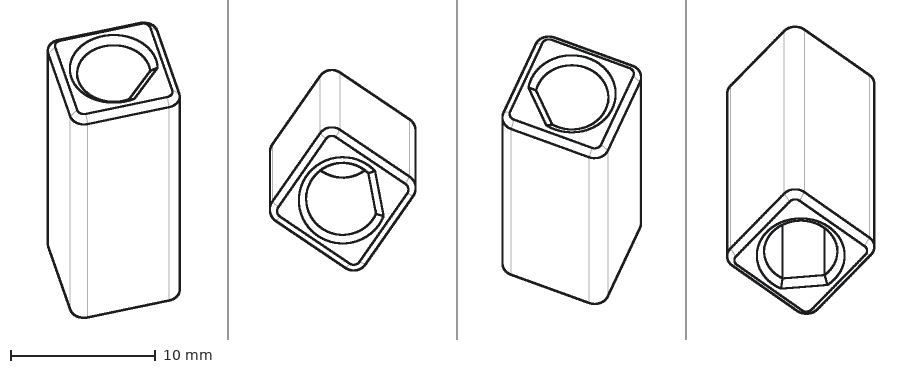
import cadquery as cq

length = 22.0
width = 7.8
corner_radius = 1.0
edge_chamfer = 0.5

bore_diameter = 5.05
flat_distance = 2.07
flat_angle = 45.0
bore_chamfer = 0.5


def make_body():
    """Square bar with rounded long edges and chamfered ends."""
    bar = cq.Workplane("XY").rect(width, width).extrude(length)
    bar = bar.edges("|Z").fillet(corner_radius)
    return bar.faces("<Z or >Z").edges().chamfer(edge_chamfer)


def make_d_prism():
    """Solid with the D-shaped cross-section of the bore."""
    cylinder = cq.Workplane("XY").circle(bore_diameter / 2).extrude(length)
    beyond_flat = (
        cq.Workplane("XY")
        .center(flat_distance + bore_diameter / 2, 0)
        .rect(bore_diameter, bore_diameter)
        .extrude(length)
        .rotate((0, 0, 0), (0, 0, 1), flat_angle)
    )
    return cylinder.cut(beyond_flat)


def chamfer_bore_ends(sleeve):
    """Break the rim of the bore at both ends."""
    rims = [
        edge
        for face in sleeve.faces("<Z or >Z").vals()
        for wire in face.innerWires()
        for edge in wire.Edges()
    ]
    return sleeve.newObject(rims).chamfer(bore_chamfer)


result = chamfer_bore_ends(make_body().cut(make_d_prism()))